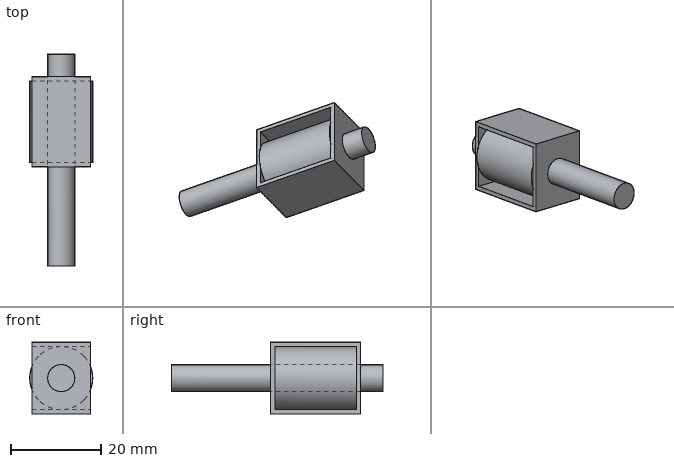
import cadquery as cq

plunger_length = 47.0
plunger_diameter = 6.0
coil_diameter = 14.0
wall = 1.0
frame_length = 20.0
frame_width = 13.0
rear_overhang = 5.0

frame_height = coil_diameter + 2 * wall
coil_length = frame_length - 2 * wall
plunger_rear = frame_length / 2 + rear_overhang
plunger_front = plunger_rear - plunger_length


def rod(diameter, start_y, length):
    """Round bar along +Y, starting at start_y."""
    return cq.Workplane("XZ", origin=(0, start_y, 0)).circle(diameter / 2).extrude(-length)


def plunger_rod():
    return rod(plunger_diameter, plunger_front, plunger_length)


def make_frame():
    """Rectangular frame open on both X sides, with plunger holes in its end walls."""
    block = cq.Workplane("XY").box(frame_width, frame_length, frame_height)
    opening = cq.Workplane("XY").box(frame_width, coil_length, coil_diameter)
    return block.cut(opening).cut(plunger_rod())


def make_coil():
    """Round coil with a bore for the plunger."""
    return rod(coil_diameter, -coil_length / 2, coil_length).cut(plunger_rod())


frame = make_frame()
coil = make_coil()
plunger = plunger_rod()

result = cq.Compound.makeCompound([frame.solids().val(), coil.solids().val(), plunger.val()])